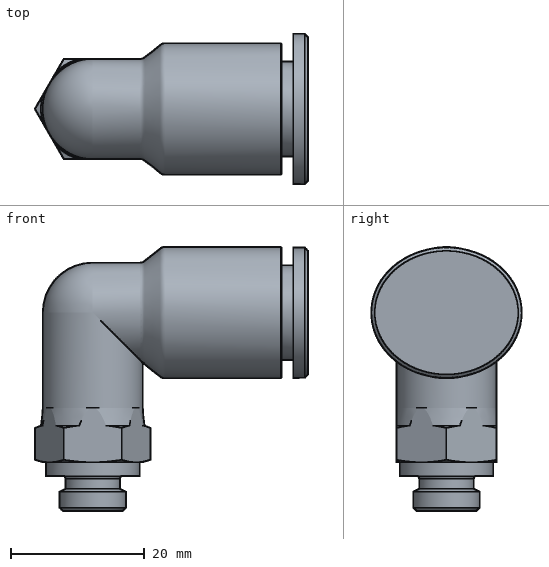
import cadquery as cq
import math


hex_flats = 15.0
hex_corner_radius = hex_flats / math.sqrt(3)
tube_radius = hex_flats / 2

overall_length = 40.85
ring_end = overall_length - hex_corner_radius
ring_thickness = 2.25
ring_start = ring_end - ring_thickness
ring_width = 22.5
ring_height = 19.55
ring_chamfer = 0.55
ring_neck_radius = 7.1
socket_end = 28.25
socket_radius = 9.85
socket_edge_chamfer = 0.15
flare_start = 7.45
flare_end = 10.4
flare_fillet = 1.0

overall_height = 39.5
stem_depth = 14.2
shoulder_depth = 16.88
shoulder_radius = 7.75
hex_bottom_depth = 22.35
hex_chamfer = 0.35
collar_radius = 7.03
collar_depth = 24.45
groove_radius = 4.1
groove_top_chamfer = 0.15
groove_top_height = 0.35
groove_bottom_depth = 26.3
plug_radius = 5.0
plug_top_depth = 26.75
plug_bottom_depth = overall_height - socket_radius
plug_chamfer = 0.55


def revolve_about_z(points):
    """Solid of revolution from (radius, z) points."""
    return cq.Workplane("XZ").polyline(points).close().revolve(360, (0, 0), (0, 1))


def make_elbow():
    """Two equal tubes that meet in a mitre, closed by a ball on the outside."""
    stem = cq.Workplane("XY").circle(tube_radius).extrude(-stem_depth)
    branch = cq.Workplane("YZ").circle(tube_radius).extrude(flare_start)
    ball = cq.Workplane("XY").sphere(tube_radius)
    return stem.union(branch).union(ball)


def make_hexagon():
    """Hexagon with chamfered corners, its flats running up into a slim cone."""
    envelope = revolve_about_z([
        (0, -stem_depth),
        (tube_radius, -stem_depth),
        (shoulder_radius, -shoulder_depth),
        (hex_corner_radius, -shoulder_depth - hex_chamfer),
        (hex_corner_radius, -hex_bottom_depth + hex_chamfer),
        (tube_radius, -hex_bottom_depth),
        (0, -hex_bottom_depth),
    ])
    prism = (
        cq.Workplane("XY")
        .workplane(offset=-hex_bottom_depth)
        .polygon(6, 2 * hex_corner_radius)
        .extrude(hex_bottom_depth - stem_depth)
    )
    return prism.intersect(envelope)


def make_plug():
    """Sealing collar, undercut groove and plug below the hexagon."""
    return revolve_about_z([
        (0, -hex_bottom_depth),
        (collar_radius, -hex_bottom_depth),
        (collar_radius, -collar_depth),
        (groove_radius + groove_top_chamfer, -collar_depth),
        (groove_radius, -collar_depth - groove_top_height),
        (groove_radius, -groove_bottom_depth),
        (plug_radius, -plug_top_depth),
        (plug_radius, -plug_bottom_depth + plug_chamfer),
        (plug_radius - plug_chamfer, -plug_bottom_depth),
        (0, -plug_bottom_depth),
    ])


def make_socket():
    """Flared socket body with rounded cone edges, and the neck behind the ring."""
    flare_angle = math.atan2(socket_radius - tube_radius, flare_end - flare_start)
    mid_angle = flare_angle / 2
    tangent = flare_fillet * math.tan(mid_angle)
    along_x = tangent * math.cos(flare_angle)
    along_r = tangent * math.sin(flare_angle)
    mid_gap = flare_fillet * (1 / math.cos(mid_angle) - 1)
    mid_x = mid_gap * math.sin(mid_angle)
    mid_r = mid_gap * math.cos(mid_angle)
    profile = (
        cq.Workplane("XZ")
        .moveTo(flare_start - tangent, 0)
        .lineTo(flare_start - tangent, tube_radius)
        .threePointArc(
            (flare_start - mid_x, tube_radius + mid_r),
            (flare_start + along_x, tube_radius + along_r),
        )
        .lineTo(flare_end - along_x, socket_radius - along_r)
        .threePointArc(
            (flare_end + mid_x, socket_radius - mid_r),
            (flare_end + tangent, socket_radius),
        )
        .lineTo(socket_end - socket_edge_chamfer, socket_radius)
        .lineTo(socket_end, socket_radius - socket_edge_chamfer)
        .lineTo(socket_end, ring_neck_radius)
        .lineTo(ring_start, ring_neck_radius)
        .lineTo(ring_start, 0)
        .close()
    )
    return profile.revolve(360, (0, 0), (1, 0))


def make_release_ring():
    """Oval ring, wider along Y, with its outer end edge chamfered."""
    return (
        cq.Workplane("YZ")
        .workplane(offset=ring_start)
        .ellipse(ring_width / 2, ring_height / 2)
        .extrude(ring_thickness)
        .faces(">X")
        .chamfer(ring_chamfer)
    )


result = (
    make_elbow()
    .union(make_hexagon())
    .union(make_plug())
    .union(make_socket())
    .union(make_release_ring())
)